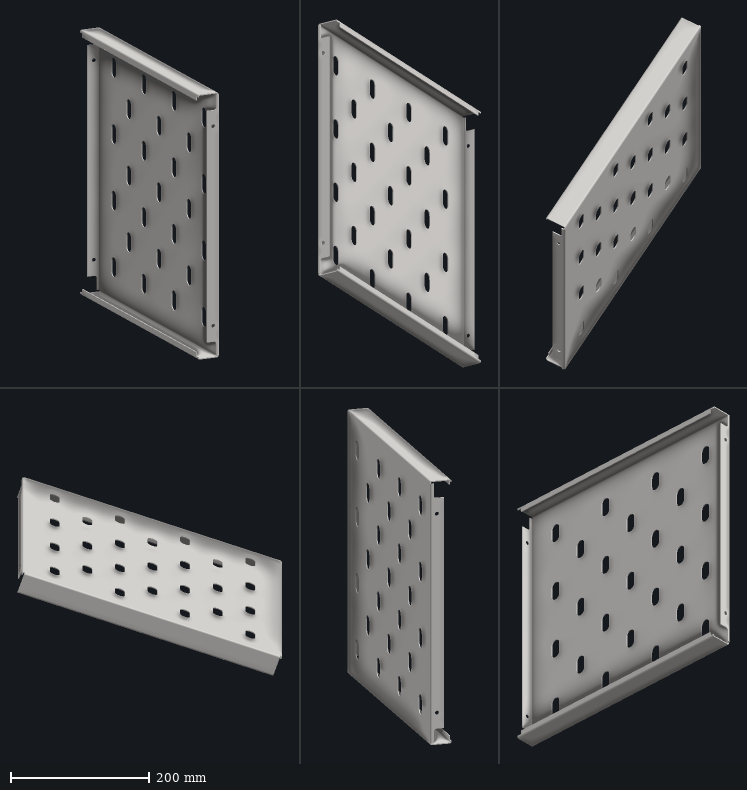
import cadquery as cq

width = 398.0
height = 398.0
depth = 33.0

sheet = 1.5
bend_radius = 3.0
inner_radius = bend_radius - sheet

lip_height = 10.0
lip_inset = 10.0
lip_relief_start = 4.0
wall_depth = 20.3
wall_end_depth = 5.0
wall_notch_length = 25.0
notch_radius = 4.0

pitch = 100.0
slot_width = 15.0
slot_length = 30.0
wall_hole_diameter = 6.0
wall_hole_setback = 10.0
wall_hole_spacing = 3 * pitch

back = depth / 2
front = -depth / 2
flat_width = width - 2 * bend_radius
flat_height = height - 2 * bend_radius


def centred_box(size_x, size_y, size_z, y_start):
    """Box centred on X and Z that reaches from y_start toward +Y."""
    return cq.Workplane("XY").box(size_x, size_y, size_z).translate((0, y_start + size_y / 2, 0))


def flanged_panel():
    """C-shaped section: panel, top and bottom flanges and their lips."""
    outer = centred_box(flat_width, depth, height, front).edges("|X").fillet(bend_radius)
    inner = (
        centred_box(flat_width, depth - 2 * sheet, height - 2 * sheet, front + sheet)
        .edges("|X")
        .fillet(inner_radius)
    )
    opening = centred_box(flat_width, depth / 2, height - 2 * lip_height, front)
    body = outer.cut(inner).cut(opening)

    relief_width = lip_inset - bend_radius
    relief_height = height - 2 * lip_relief_start
    for side in (-1, 1):
        relief = cq.Workplane("XY").box(relief_width, bend_radius, relief_height).translate(
            (side * (flat_width - relief_width) / 2, front + bend_radius / 2, 0)
        )
        body = body.cut(relief)
    return body


def wall_notch(end):
    """Cutter that narrows both side walls at the top (end = 1) or bottom (end = -1)."""
    inner_corner = "<Z" if end > 0 else ">Z"
    notch_depth = wall_depth - wall_end_depth
    return (
        centred_box(width, notch_depth, wall_notch_length, back - wall_depth)
        .edges("|X and >Y")
        .edges(inner_corner)
        .fillet(notch_radius)
        .translate((0, 0, end * (height - wall_notch_length) / 2))
    )


def side_walls():
    """U-shaped section: panel with a notched, drilled wall on each side."""
    outer = (
        centred_box(width, wall_depth, flat_height, back - wall_depth)
        .edges("|Z and >Y")
        .fillet(bend_radius)
    )
    inner = (
        centred_box(width - 2 * sheet, wall_depth - sheet, flat_height, back - wall_depth)
        .edges("|Z and >Y")
        .fillet(inner_radius)
    )
    holes = (
        cq.Workplane("YZ")
        .pushPoints([(back - wall_hole_setback, side * wall_hole_spacing / 2) for side in (-1, 1)])
        .circle(wall_hole_diameter / 2)
        .extrude(width / 2, both=True)
    )
    return outer.cut(inner).cut(wall_notch(1)).cut(wall_notch(-1)).cut(holes)


def slot_grid(count):
    """Square array of upright slot cutters through the panel."""
    return (
        cq.Workplane("XZ", origin=(0, back, 0))
        .rarray(pitch, pitch, count, count)
        .slot2D(slot_length, slot_width, 90)
        .extrude(2 * sheet, both=True)
    )


result = flanged_panel().union(side_walls()).cut(slot_grid(4)).cut(slot_grid(3))